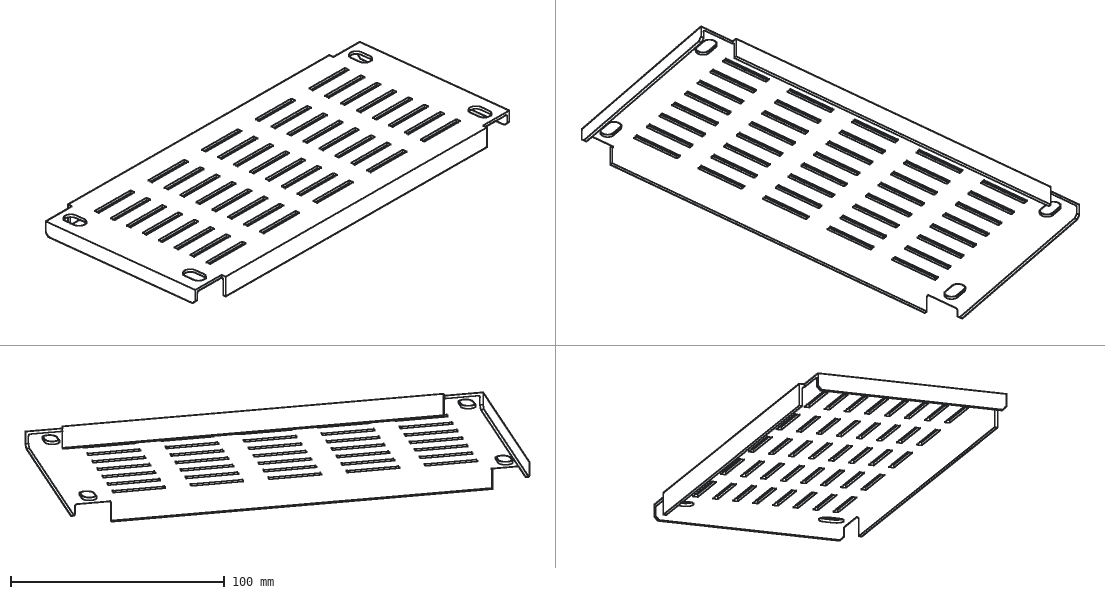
import cadquery as cq

LENGTH = 220.0
WIDTH = 99.0
SIDE_FLANGE_DEPTH = 10.8
END_FLANGE_DEPTH = 8.0
SHEET = 1.5
INNER_BEND_RADIUS = 0.9

SIDE_FLANGE_LENGTH = 183.0
END_WIDTH = 94.0
END_CORNER_CHAMFER = 1.8

VENT_COLUMNS = 8
VENT_ROWS = 5
VENT_SPAN_X = 70.0
VENT_SPAN_Y = 150.0
VENT_PITCH_X = VENT_SPAN_X / (VENT_COLUMNS - 1)
VENT_PITCH_Y = VENT_SPAN_Y / (VENT_ROWS - 1)
VENT_WIDTH = 2.5
VENT_LENGTH = 25.0

MOUNT_LENGTH = 12.0
MOUNT_WIDTH = 7.0
MOUNT_SPACING_X = 75.0
MOUNT_SPACING_Y = 200.0


def bent_channel(span, depth, length):
    """Channel of bent sheet along Y: flat top face at Z = 0, flanges pointing down at both X ends."""
    outer = cq.Workplane("XY").box(span, length, depth, centered=(True, True, False))
    inner = cq.Workplane("XY").box(span - 2 * SHEET, length, depth - SHEET, centered=(True, True, False))
    inner = inner.edges("|Y and >Z").fillet(INNER_BEND_RADIUS)
    return outer.cut(inner).translate((0, 0, -depth))


def vent_slots():
    """Cutters for the grid of lengthwise ventilation slots."""
    grid = cq.Workplane("XY").rarray(VENT_PITCH_X, VENT_PITCH_Y, VENT_COLUMNS, VENT_ROWS)
    return grid.rect(VENT_WIDTH, VENT_LENGTH).extrude(-SHEET)


def mounting_slots():
    """Cutters for the four crosswise mounting slots."""
    corners = cq.Workplane("XY").rarray(MOUNT_SPACING_X, MOUNT_SPACING_Y, 2, 2)
    return corners.slot2D(MOUNT_LENGTH, MOUNT_WIDTH).extrude(-SHEET)


end_panel = bent_channel(LENGTH, END_FLANGE_DEPTH, END_WIDTH)
end_panel = end_panel.rotate((0, 0, 0), (0, 0, 1), 90)
end_panel = end_panel.faces("<Z").edges("|Y").chamfer(END_CORNER_CHAMFER)

side_panel = bent_channel(WIDTH, SIDE_FLANGE_DEPTH, SIDE_FLANGE_LENGTH)

panel = end_panel.union(side_panel)
result = panel.cut(vent_slots()).cut(mounting_slots())